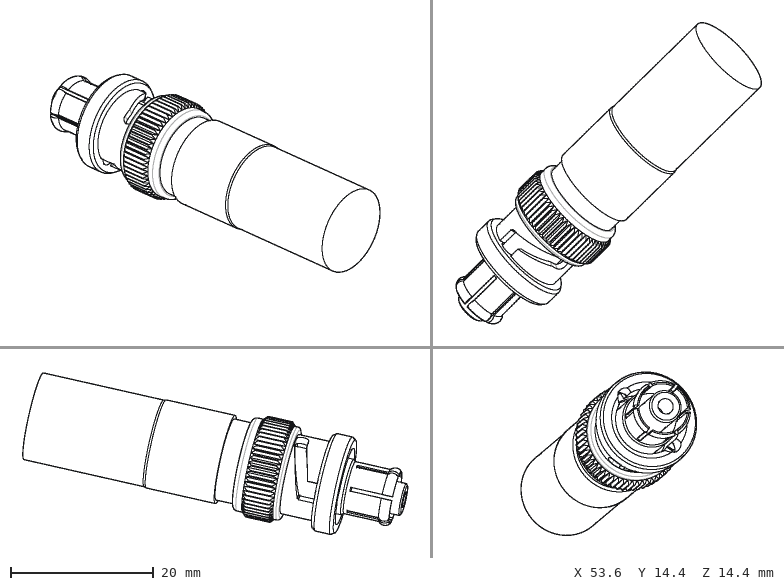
import cadquery as cq
import math

overall_length = 53.6

nose_diameter = 4.6
nose_tip_diameter = 4.0
nose_chamfer_length = 0.2
nose_hole_diameter = 2.2
nose_hole_depth = 5.35

collet_start = 1.3
collet_diameter = 7.5
collet_bore_diameter = 7.05
collet_bead_diameter = 8.25
collet_bead_length = 1.5
collet_slot_count = 6
collet_slot_width = 0.55
collet_slot_end = 7.35

tube_start = 7.9
tube_diameter = 8.0
tube_chamfer_length = 0.3

groove_floor = 16.6
barrel_start = 25.9
barrel_diameter = 12.7
barrel_chamfer_length = 0.3
rear_start = 36.15
rear_diameter = 12.5
neck_diameter = 11.7

sleeve_bore_diameter = 9.4
sleeve_diameter = 11.4

flange_start = 8.55
flange_end = 11.75
flange_diameter = 14.05
flange_chamfer_length = 0.5
flange_chamfer_height = 0.3
mouth_diameter = 11.0

grip_start = 16.5
grip_end = 23.3
grip_diameter = 13.4
grip_front_fillet = 0.4
grip_rear_fillet = 0.65

knurl_start = 17.3
knurl_end = 21.8
knurl_diameter = 14.45
knurl_tooth_count = 60
knurl_gap_width = 0.65

bayonet_count = 2
entry_angle = 43.5
entry_span = 30.0
entry_notch_diameter = 2.4
entry_notch_offset = 4.65
entry_end = 14.05
ramp_width = 1.75
ramp_start = 13.35
ramp_end = 15.55
ramp_start_angle = 30.0
ramp_end_angle = 113.0
detent_angle = 118.5
detent_length = 3.05


def cylinder(diameter, start, end):
    """Solid cylinder around the X axis."""
    return cq.Workplane("YZ", origin=(start, 0, 0)).circle(diameter / 2).extrude(end - start)


def cone(start_diameter, end_diameter, start, end):
    """Solid truncated cone around the X axis."""
    return (
        cq.Workplane("XY")
        .moveTo(start, 0)
        .lineTo(start, start_diameter / 2)
        .lineTo(end, end_diameter / 2)
        .lineTo(end, 0)
        .close()
        .revolve(360, (0, 0, 0), (1, 0, 0))
    )


def turn(shape, angle):
    """Rotate a shape around the X axis."""
    return shape.rotate((0, 0, 0), (1, 0, 0), angle)


def make_plug_body():
    bead_end = collet_start + collet_bead_length
    profile = (
        cq.Workplane("XY")
        .moveTo(collet_start, 0)
        .lineTo(collet_start, collet_diameter / 2)
        .threePointArc(
            (collet_start + collet_bead_length / 2, collet_bead_diameter / 2),
            (bead_end, collet_diameter / 2),
        )
        .lineTo(tube_start, collet_diameter / 2)
        .lineTo(tube_start + tube_chamfer_length, tube_diameter / 2)
        .lineTo(groove_floor, tube_diameter / 2)
        .lineTo(groove_floor, sleeve_bore_diameter / 2)
        .lineTo(grip_end, sleeve_bore_diameter / 2)
        .lineTo(grip_end, neck_diameter / 2)
        .lineTo(barrel_start, neck_diameter / 2)
        .lineTo(barrel_start, barrel_diameter / 2)
        .lineTo(rear_start - barrel_chamfer_length, barrel_diameter / 2)
        .lineTo(rear_start, rear_diameter / 2)
        .lineTo(overall_length, rear_diameter / 2)
        .lineTo(overall_length, 0)
        .close()
    )
    body = profile.revolve(360, (0, 0, 0), (1, 0, 0))

    body = body.cut(cylinder(collet_bore_diameter, collet_start, collet_slot_end))
    slot_length = collet_slot_end - collet_start
    slot = cq.Workplane("XY").box(
        slot_length, collet_bead_diameter / 2, collet_slot_width, centered=(False, False, True)
    )
    slot = slot.translate((collet_start, 0, 0))
    for index in range(collet_slot_count):
        body = body.cut(turn(slot, index * 360 / collet_slot_count))

    nose = cone(nose_tip_diameter, nose_diameter, 0, nose_chamfer_length)
    nose = nose.union(cylinder(nose_diameter, nose_chamfer_length, collet_slot_end))
    return body.union(nose).cut(cylinder(nose_hole_diameter, 0, nose_hole_depth))


def make_flange():
    chamfer_diameter = flange_diameter - 2 * flange_chamfer_height
    front = flange_start + flange_chamfer_length
    rear = flange_end - flange_chamfer_length
    flange = cylinder(flange_diameter, front, rear)
    flange = flange.union(cone(chamfer_diameter, flange_diameter, flange_start, front))
    return flange.union(cone(flange_diameter, chamfer_diameter, rear, flange_end))


def make_knurl():
    """Toothed ring with 45 degree ends that run down to the grip surface."""
    rise = (knurl_diameter - grip_diameter) / 2
    ring = cylinder(knurl_diameter, knurl_start + rise, knurl_end - rise)
    ring = ring.union(cone(grip_diameter, knurl_diameter, knurl_start, knurl_start + rise))
    ring = ring.union(cone(knurl_diameter, grip_diameter, knurl_end - rise, knurl_end))
    root_radius = grip_diameter / 2
    outer_radius = root_radius + 2 * rise
    gap = (
        cq.Workplane("YZ", origin=(knurl_start, 0, 0))
        .polyline([(root_radius, 0), (outer_radius, knurl_gap_width), (outer_radius, -knurl_gap_width)])
        .close()
        .extrude(knurl_end - knurl_start)
    )
    gaps = [turn(gap, index * 360 / knurl_tooth_count).val() for index in range(knurl_tooth_count)]
    return ring.cut(cq.Workplane(cq.Compound.makeCompound(gaps)))


def make_ramp():
    """Helical part of a bayonet slot, climbing from the entry to the detent."""
    swept_angle = ramp_end_angle - ramp_start_angle
    rise = ramp_end - ramp_start
    mean_radius = (sleeve_bore_diameter + sleeve_diameter) / 4
    cut_depth = sleeve_diameter - sleeve_bore_diameter
    helix = cq.Wire.makeHelix(rise * 360 / swept_angle, rise, mean_radius)
    ramp = (
        cq.Workplane("XZ")
        .center(mean_radius, 0)
        .rect(cut_depth, ramp_width)
        .sweep(cq.Workplane(helix), isFrenet=True)
    )
    ramp = cq.Workplane(ramp.val().moved(cq.Plane.named("YZ", (ramp_start, 0, 0)).location))
    return turn(ramp, ramp_start_angle)


def make_bayonet_slot():
    notch = cylinder(entry_notch_diameter, flange_start, flange_end)
    notch = notch.translate((0, entry_notch_offset, 0))
    half_span = math.radians(entry_span / 2)
    reach = sleeve_diameter * math.cos(half_span)
    half_width = sleeve_diameter * math.sin(half_span)
    entry = (
        cq.Workplane("YZ", origin=(flange_end, 0, 0))
        .polyline([(0, 0), (reach, -half_width), (reach, half_width)])
        .close()
        .extrude(entry_end - flange_end)
    )
    slot = turn(notch.union(entry), entry_angle)
    detent = cq.Workplane("XZ", origin=(ramp_end, 0, 0)).slot2D(detent_length, ramp_width, 90)
    detent = turn(detent.extrude(-sleeve_diameter / 2), detent_angle)
    return slot.union(make_ramp()).union(detent)


def make_coupling_sleeve():
    grip = cylinder(grip_diameter, grip_start, grip_end)
    grip = grip.faces("<X").edges().fillet(grip_front_fillet)
    grip = grip.faces(">X").edges().fillet(grip_rear_fillet)
    sleeve = cylinder(sleeve_diameter, flange_start, grip_end)
    sleeve = sleeve.union(make_flange()).union(grip).union(make_knurl())

    mouth_depth = (mouth_diameter - sleeve_bore_diameter) / 2
    sleeve = sleeve.cut(cylinder(sleeve_bore_diameter, flange_start, grip_end))
    sleeve = sleeve.cut(
        cone(mouth_diameter, sleeve_bore_diameter, flange_start, flange_start + mouth_depth)
    )

    slot = make_bayonet_slot()
    for index in range(bayonet_count):
        sleeve = sleeve.cut(turn(slot, index * 360 / bayonet_count))
    return sleeve


plug_body = make_plug_body()
coupling_sleeve = make_coupling_sleeve()

result = cq.Compound.makeCompound([plug_body.val(), coupling_sleeve.val()])